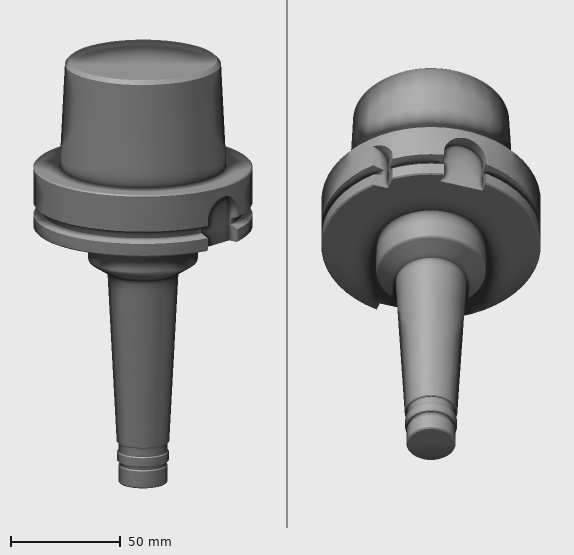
import cadquery as cq

shank_height = 50
shank_base_radius = 38
shank_top_radius = 35.5
shank_chamfer = 1.8

flange_radius = 50
flange_height = 29.2
flange_chamfer = 0.5
groove_floor_radius = 46
groove_top = -17.2
groove_bottom = -23.0
groove_flank_height = 1.5

collar_radius = 25.0
collar_bottom = -44.8
collar_fillet = 2
nose_top = -50.5
nose_top_radius = 16.2
nose_end_radius = 12
nose_end = -130.8
tip_bottom = -150
tip_radius = 11.2
tip_chamfer = 0.5
ring_radius = 11.8
ring_top = -135.0
ring_bottom = -139.8
tip_top = -141.5
tip_groove_radius = 10.5
edge_chamfer = 0.5

slot_width = 20
slot_top = -5.2
key_floor = 44
index_slot_floor = 32
index_slot_offset = 41.5


def make_body():
    """Revolve the complete half profile about Z and round the collar's lower rim."""
    profile = [
        (0, shank_height),
        (shank_top_radius - shank_chamfer, shank_height),
        (shank_top_radius, shank_height - shank_chamfer),
        (shank_base_radius, 0),
        (flange_radius - flange_chamfer, 0),
        (flange_radius, -flange_chamfer),
        (flange_radius, groove_top),
        (groove_floor_radius, groove_top - groove_flank_height),
        (groove_floor_radius, groove_bottom + groove_flank_height),
        (flange_radius, groove_bottom),
        (flange_radius, -flange_height + flange_chamfer),
        (flange_radius - flange_chamfer, -flange_height),
        (collar_radius, -flange_height),
        (collar_radius, collar_bottom),
        (nose_top_radius, nose_top),
        (nose_end_radius, nose_end + edge_chamfer),
        (nose_end_radius - edge_chamfer, nose_end),
        (tip_radius, nose_end),
        (tip_radius, ring_top),
        (ring_radius - edge_chamfer, ring_top),
        (ring_radius, ring_top - edge_chamfer),
        (ring_radius, ring_bottom + edge_chamfer),
        (ring_radius - edge_chamfer, ring_bottom),
        (tip_groove_radius, ring_bottom),
        (tip_groove_radius, tip_top),
        (tip_radius - edge_chamfer, tip_top),
        (tip_radius, tip_top - edge_chamfer),
        (tip_radius, tip_bottom + tip_chamfer),
        (tip_radius - tip_chamfer, tip_bottom),
        (0, tip_bottom),
    ]
    body = cq.Workplane("XZ").polyline(profile).close().revolve(360, (0, 0), (0, 1))
    selection_margin = 0.2
    collar_rim = cq.selectors.BoxSelector(
        (-collar_radius, -collar_radius, collar_bottom - selection_margin),
        (collar_radius, collar_radius, collar_bottom + selection_margin),
    )
    return body.edges(collar_rim).fillet(collar_fillet)


def round_topped_slot(floor, offset_y):
    """Cutter on the +X side: open below and outward, with a half-round upper end."""
    half_width = slot_width / 2
    return (
        cq.Workplane("YZ", origin=(floor, offset_y, 0))
        .moveTo(-half_width, -flange_height)
        .lineTo(-half_width, slot_top - half_width)
        .threePointArc((0, slot_top), (half_width, slot_top - half_width))
        .lineTo(half_width, -flange_height)
        .close()
        .extrude(flange_radius - floor)
    )


result = make_body()

key_slot = round_topped_slot(key_floor, 0)
for angle in (0, 180):
    result = result.cut(key_slot.rotate((0, 0, 0), (0, 0, 1), angle))

result = result.cut(round_topped_slot(index_slot_floor, index_slot_offset).mirror("YZ"))